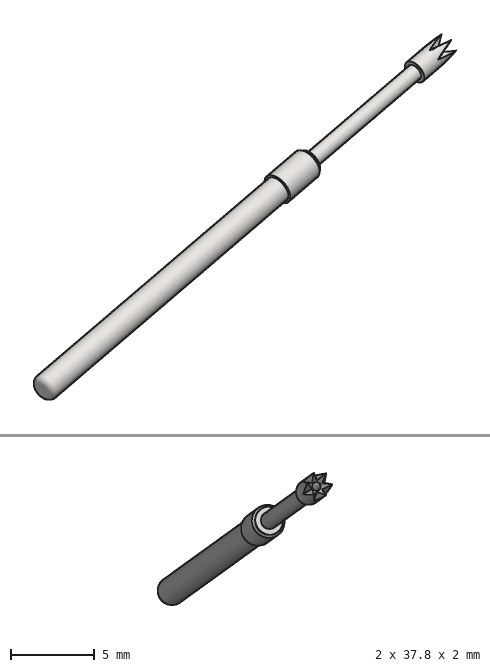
import math

import cadquery as cq

total_length = 37.8
barrel_length = 22.0
barrel_radius = 1.7 / 2
barrel_end_fillet = 0.4
collar_length = 3.0
collar_radius = 2.0 / 2
collar_chamfer = 0.245
plunger_radius = 1.02 / 2
head_length = 3.0
head_radius = 1.5 / 2

crown_points = 6
notch_depth = 1.6
ring_groove_depth = 0.9
ring_groove_radius = 0.25

collar_front = barrel_length + collar_length
head_back = total_length - head_length
half_pitch = math.radians(180 / crown_points)


def rod(radius, start, end):
    """Cylinder along Y from start to end."""
    return cq.Workplane("XZ", origin=(0, start, 0)).circle(radius).extrude(start - end)


def make_head():
    """Head turned with a V-shaped ring groove around its centre point."""
    profile = [
        (0, head_back),
        (head_radius, head_back),
        (head_radius, total_length),
        (ring_groove_radius, total_length - ring_groove_depth),
        (0, total_length),
    ]
    return cq.Workplane("XY").polyline(profile).close().revolve(360, (0, 0, 0), (0, 1, 0))


def make_notch(angle):
    """V-shaped cutter whose bottom edge falls from the centre point to the rim.

    Each flank meets the next notch's flank halfway, level with the crown tip.
    """
    slope = math.atan2(notch_depth, head_radius)
    cutter_length = 2 * head_radius / math.cos(slope)
    cutter_height = 2 * notch_depth
    half_width = cutter_height * head_radius * math.tan(half_pitch) / notch_depth
    section_height = cutter_height * math.cos(slope)
    section_plane = cq.Plane(
        origin=(0, total_length, 0),
        xDir=(1, 0, 0),
        normal=(0, -math.sin(slope), math.cos(slope)),
    )
    section = [(0, 0), (half_width, section_height), (-half_width, section_height)]
    cutter = cq.Workplane(section_plane).polyline(section).close().extrude(cutter_length)
    return cutter.rotate((0, 0, 0), (0, 1, 0), angle)


barrel = rod(barrel_radius, 0, collar_front).faces("<Y").edges().fillet(barrel_end_fillet)
collar = rod(collar_radius, barrel_length, collar_front).faces(">Y").edges().chamfer(collar_chamfer)
plunger = rod(plunger_radius, collar_front, head_back)

head = make_head()
for index in range(crown_points):
    head = head.cut(make_notch(index * 360 / crown_points))

result = barrel.union(collar).union(plunger).union(head)